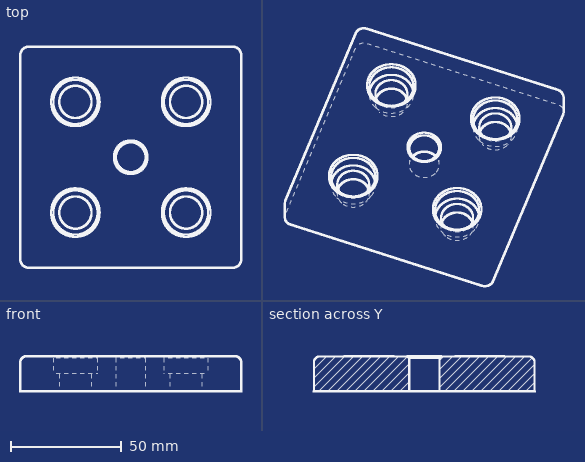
import cadquery as cq

side = 100.0
thickness = 16.0
corner_radius = 4.0
top_edge_radius = 3.0

hole_spacing = 50.0
hole_diameter = 14.5
counterbore_diameter = 20.0
counterbore_depth = 8.0
counterbore_chamfer = 1.0

center_diameter = 13.4
center_chamfer = 0.9


def rounded_plate():
    """Square plate resting on Z = 0, with rounded corners and a rounded top rim."""
    plate = cq.Workplane("XY").box(side, side, thickness, centered=(True, True, False))
    plate = plate.edges("|Z").fillet(corner_radius)
    return plate.faces(">Z").edges().fillet(top_edge_radius)


def bore(diameter, depth):
    """Cylinder reaching down from the top face by the given depth."""
    return cq.Workplane("XY").workplane(offset=thickness - depth).circle(diameter / 2).extrude(depth)


def countersink(diameter, chamfer):
    """45 degree cone that breaks the top edge of a bore."""
    cone = cq.Solid.makeCone(diameter / 2, diameter / 2 + chamfer, chamfer)
    return cq.Workplane(cone.translate(cq.Vector(0, 0, thickness - chamfer)))


def counterbored_hole():
    """Through hole with a wide upper bore and a chamfered mouth."""
    through = bore(hole_diameter, thickness)
    head_seat = bore(counterbore_diameter, counterbore_depth)
    return through.union(head_seat).union(countersink(counterbore_diameter, counterbore_chamfer))


def center_hole():
    """Plain through hole with a chamfered mouth."""
    return bore(center_diameter, thickness).union(countersink(center_diameter, center_chamfer))


result = rounded_plate().cut(center_hole())

for x_sign in (-1, 1):
    for y_sign in (-1, 1):
        position = (x_sign * hole_spacing / 2, y_sign * hole_spacing / 2, 0)
        result = result.cut(counterbored_hole().translate(position))